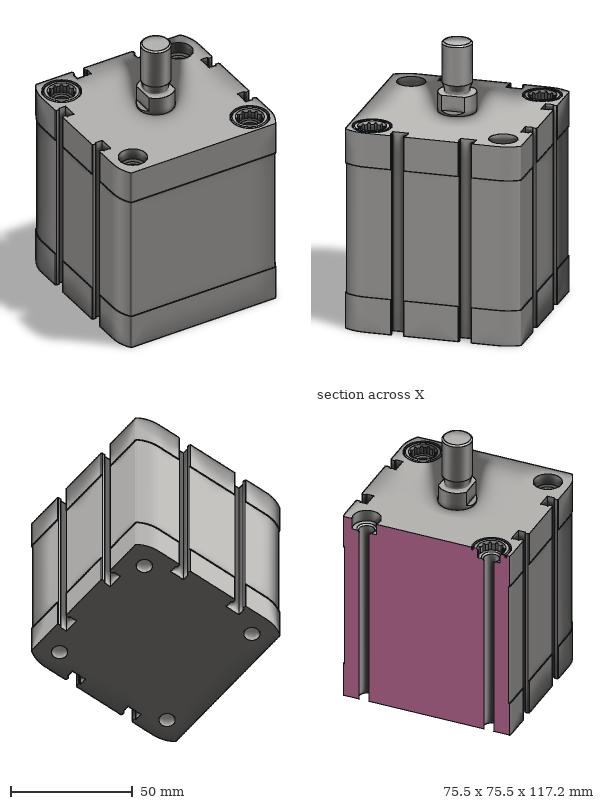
import cadquery as cq
import math

WIDTH = 75.5
HOUSING_HEIGHT = 87.0
TOP_CAP_HEIGHT = 14.9
BOTTOM_CAP_HEIGHT = 15.4
BARREL_INSET = 0.4

BOLT_OFFSET = 28.1
CORNER_RADIUS = 16.9
CORNER_BLEND = 1.2

SLOT_OFFSET = 14.5
SLOT_MOUTH = 5.2
SLOT_INNER_WIDTH = 6.7
SLOT_LIP = 2.0
SLOT_DEPTH = 5.2
LIP_ROUND = 0.4

BOLT_HOLE_DIAMETER = 6.7
BOLT_HOLE_CHAMFER = 0.7
SOCKET_DIAMETER = 12.0
COUNTERBORE_DEPTH = 5.0

SCREW_RECESS_DIAMETER = 16.4
SCREW_HEAD_DIAMETER = 15.5
SCREW_GAP_DEPTH = 1.2
SCREW_HEAD_CHAMFER = 0.5
SPLINE_DIAMETER = 10.5
SPLINE_ROOT_DIAMETER = 11.3
SPLINE_COUNT = 12
SPLINE_GROOVE_DIAMETER = 1.4
SOCKET_MOUTH_DEPTH = 1.3
SCREW_SOCKET_DEPTH = 4.3

TOTAL_HEIGHT = 117.2
ROD_DIAMETER = 16.0
SHOULDER_HEIGHT = 8.2
FLAT_WIDTH = 12.7
FLAT_START = 1.6
FLAT_RUNOUT_ANGLE = 30.0
NECK_DIAMETER = 10.5
NECK_LENGTH = 1.4
NECK_FILLET = 0.5
CONE_BLEND = 1.4
NECK_CONE_LENGTH = 3.0
THREAD_DIAMETER = 12.7
THREAD_CHAMFER = 0.7

MARGIN = 0.1


def cylinder(diameter, bottom, top, x=0, y=0):
    return cq.Workplane("XY", origin=(x, y, bottom)).circle(diameter / 2).extrude(top - bottom)


def cone(bottom_diameter, top_diameter, bottom, top, x=0, y=0):
    return cq.Workplane(
        cq.Solid.makeCone(
            bottom_diameter / 2, top_diameter / 2, top - bottom, cq.Vector(x, y, bottom), cq.Vector(0, 0, 1)
        )
    )


def profile_block(inset, bottom, top):
    """Square block with large corner arcs, its outer faces moved in by `inset`."""
    half = WIDTH / 2 - inset
    radius = CORNER_RADIUS - inset
    centre_y = WIDTH / 2 - CORNER_RADIUS
    run = half - BOLT_OFFSET
    end_y = centre_y + math.sqrt(radius**2 - run**2)
    half_angle = math.asin(run / radius) / 2
    mid_x = BOLT_OFFSET + radius * math.sin(half_angle)
    mid_y = centre_y + radius * math.cos(half_angle)
    block = (
        cq.Workplane("XY", origin=(0, 0, bottom))
        .moveTo(-BOLT_OFFSET, half)
        .lineTo(BOLT_OFFSET, half)
        .threePointArc((mid_x, mid_y), (half, end_y))
        .lineTo(half, -end_y)
        .threePointArc((mid_x, -mid_y), (BOLT_OFFSET, -half))
        .lineTo(-BOLT_OFFSET, -half)
        .threePointArc((-mid_x, -mid_y), (-half, -end_y))
        .lineTo(-half, end_y)
        .threePointArc((-mid_x, mid_y), (-BOLT_OFFSET, half))
        .close()
        .extrude(top - bottom)
    )
    corners = cq.selectors.BoxSelector((half - MARGIN, -half, bottom), (half + MARGIN, half, top))
    corners += cq.selectors.BoxSelector((-half - MARGIN, -half, bottom), (-half + MARGIN, half, top))
    return block.edges("|Z").edges(corners).fillet(CORNER_BLEND)


def t_slot(bottom, top):
    """T-slot cutter for the -Y face at X = 0, with rounded lips."""
    face = -WIDTH / 2
    lip_end = face + SLOT_LIP
    mouth = SLOT_MOUTH / 2
    inner = SLOT_INNER_WIDTH / 2
    floor = face + SLOT_DEPTH
    return (
        cq.Workplane("XY", origin=(0, 0, bottom))
        .moveTo(-mouth - LIP_ROUND, face)
        .radiusArc((-mouth, face + LIP_ROUND), LIP_ROUND)
        .lineTo(-mouth, lip_end - LIP_ROUND)
        .radiusArc((-mouth - LIP_ROUND, lip_end), LIP_ROUND)
        .lineTo(-inner, lip_end)
        .lineTo(-inner, floor)
        .lineTo(inner, floor)
        .lineTo(inner, lip_end)
        .lineTo(mouth + LIP_ROUND, lip_end)
        .radiusArc((mouth, lip_end - LIP_ROUND), LIP_ROUND)
        .lineTo(mouth, face + LIP_ROUND)
        .radiusArc((mouth + LIP_ROUND, face), LIP_ROUND)
        .close()
        .extrude(top - bottom)
    )


def t_slots():
    slots = cq.Workplane("XY")
    for face_angle in (0, 180, -90):
        for offset in (-SLOT_OFFSET, SLOT_OFFSET):
            slot = t_slot(0, HOUSING_HEIGHT).translate((offset, 0, 0))
            slots = slots.add(slot.rotate((0, 0, 0), (0, 0, 1), face_angle))
    return slots.combine()


def bolt_hole(x, y, floor):
    """Through hole with a chamfered mouth at height `floor`."""
    mouth_diameter = BOLT_HOLE_DIAMETER + 2 * BOLT_HOLE_CHAMFER
    hole = cylinder(BOLT_HOLE_DIAMETER, 0, floor, x, y)
    return hole.union(cone(BOLT_HOLE_DIAMETER, mouth_diameter, floor - BOLT_HOLE_CHAMFER, floor, x, y))


def counterbored_hole(x, y):
    floor = HOUSING_HEIGHT - COUNTERBORE_DEPTH
    return bolt_hole(x, y, floor).union(cylinder(SOCKET_DIAMETER, floor, HOUSING_HEIGHT, x, y))


def bearing_screw_cut(x, y):
    """Gap around a chamfered screw head, its splined socket and its through hole."""
    top = HOUSING_HEIGHT
    chamfer_start = top - SCREW_HEAD_CHAMFER
    gap_floor = top - SCREW_GAP_DEPTH
    face_diameter = SCREW_HEAD_DIAMETER - 2 * SCREW_HEAD_CHAMFER
    head = cylinder(SCREW_HEAD_DIAMETER, gap_floor, chamfer_start, x, y)
    head = head.union(cone(SCREW_HEAD_DIAMETER, face_diameter, chamfer_start, top, x, y))
    gap = cylinder(SCREW_RECESS_DIAMETER, gap_floor, top, x, y).cut(head)

    floor = top - SCREW_SOCKET_DEPTH
    socket = cylinder(SPLINE_DIAMETER, floor, top, x, y)
    groove_circle = (SPLINE_ROOT_DIAMETER - SPLINE_GROOVE_DIAMETER) / 2
    grooves = (
        cq.Workplane("XY", origin=(x, y, floor))
        .polarArray(groove_circle, 0, 360, SPLINE_COUNT)
        .circle(SPLINE_GROOVE_DIAMETER / 2)
        .extrude(SCREW_SOCKET_DEPTH)
    )
    mouth = cone(SPLINE_DIAMETER, SOCKET_DIAMETER, top - SOCKET_MOUTH_DEPTH, top, x, y)
    return bolt_hole(x, y, floor).union(socket).union(grooves).union(mouth).union(gap)


def make_housing():
    barrel_top = HOUSING_HEIGHT - TOP_CAP_HEIGHT
    housing = profile_block(BARREL_INSET, BOTTOM_CAP_HEIGHT, barrel_top)
    housing = housing.union(profile_block(0, 0, BOTTOM_CAP_HEIGHT))
    housing = housing.union(profile_block(0, barrel_top, HOUSING_HEIGHT))
    housing = housing.cut(t_slots())
    for side in (-1, 1):
        housing = housing.cut(counterbored_hole(side * BOLT_OFFSET, -side * BOLT_OFFSET))
        housing = housing.cut(bearing_screw_cut(side * BOLT_OFFSET, side * BOLT_OFFSET))
    return housing


def wrench_flat():
    """Cutter for the +Y wrench flat, its lower end sloping down and outwards."""
    inner = FLAT_WIDTH / 2
    outer = ROD_DIAMETER / 2 + MARGIN
    bottom = HOUSING_HEIGHT + FLAT_START
    drop = (outer - inner) * math.tan(math.radians(FLAT_RUNOUT_ANGLE))
    top = HOUSING_HEIGHT + SHOULDER_HEIGHT
    return (
        cq.Workplane("YZ")
        .polyline([(inner, bottom), (outer, bottom - drop), (outer, top), (inner, top)])
        .close()
        .extrude(ROD_DIAMETER / 2, both=True)
    )


def make_rod():
    shoulder = HOUSING_HEIGHT + SHOULDER_HEIGHT
    cone_start = shoulder + NECK_LENGTH
    cone_end = cone_start + NECK_CONE_LENGTH
    neck = NECK_DIAMETER / 2
    thread = THREAD_DIAMETER / 2
    rod = (
        cq.Workplane("XZ")
        .moveTo(0, HOUSING_HEIGHT)
        .lineTo(ROD_DIAMETER / 2, HOUSING_HEIGHT)
        .lineTo(ROD_DIAMETER / 2, shoulder)
        .lineTo(neck + NECK_FILLET, shoulder)
        .radiusArc((neck, shoulder + NECK_FILLET), NECK_FILLET)
        .lineTo(neck, cone_start)
        .lineTo(thread, cone_end)
        .lineTo(thread, TOTAL_HEIGHT - THREAD_CHAMFER)
        .lineTo(thread - THREAD_CHAMFER, TOTAL_HEIGHT)
        .lineTo(0, TOTAL_HEIGHT)
        .close()
        .revolve(360, (0, 0, 0), (0, 1, 0))
    )
    cone_edge = cq.selectors.BoxSelector(
        (-thread, -thread, cone_start - MARGIN), (thread, thread, cone_start + MARGIN), boundingbox=True
    )
    rod = rod.edges(cone_edge).fillet(CONE_BLEND)
    flat = wrench_flat()
    return rod.cut(flat).cut(flat.mirror("XZ"))


housing = make_housing().solids()
piston_rod = make_rod().solids()
result = cq.Compound.makeCompound([housing.val(), piston_rod.val()])